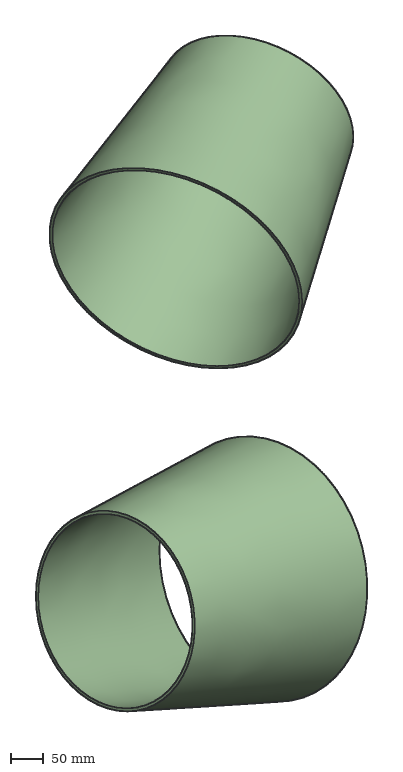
import cadquery as cq

large_diameter = 410.0
small_diameter = 310.0
length = 356.0
wall = 5.0

large_radius = large_diameter / 2
small_radius = small_diameter / 2


def wall_section():
    """Half section of the tapered wall, drawn in XY beside the Y axis."""
    return (
        cq.Workplane("XY")
        .moveTo(large_radius - wall, 0)
        .lineTo(large_radius, 0)
        .lineTo(small_radius, length)
        .lineTo(small_radius - wall, length)
        .close()
    )


result = wall_section().revolve(360, (0, 0, 0), (0, 1, 0))